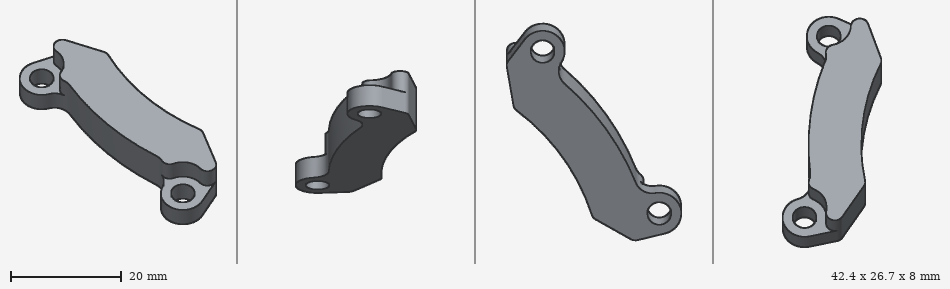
import cadquery as cq
import math

TILT = 25.0
THICKNESS = 8.0
LUG_THICKNESS = THICKNESS / 2
HOLE_DIAMETER = 4.3
LUG_RADIUS = 4.0
HOLE_HALF_SPACING = 18.75
CORNER_RADIUS = 1.6
NECK_RADIUS = 3.2
OUTER_ARC_RADIUS = 50.0
PAD_WIDTH = 9.55
INNER_ARC_RADIUS = OUTER_ARC_RADIUS - PAD_WIDTH
OUTER_ARC_LOW = -1.15
TIP_OFFSET = 0.5

ARC_CENTER = (0, OUTER_ARC_LOW + OUTER_ARC_RADIUS)
HOLE_CENTER = (HOLE_HALF_SPACING, 0)


def polar(center, radius, angle):
    return (center[0] + radius * math.cos(angle), center[1] + radius * math.sin(angle))


def direction(start, end):
    return math.atan2(end[1] - start[1], end[0] - start[0])


def toward(start, end, length):
    return polar(start, length, direction(start, end))


def circle_crossing(center_a, radius_a, center_b, radius_b):
    """Crossing of two circles that lies left of the line from a to b."""
    gap = math.dist(center_a, center_b)
    along = (radius_a**2 - radius_b**2 + gap**2) / (2 * gap)
    turn = math.acos(along / radius_a)
    return polar(center_a, radius_a, direction(center_a, center_b) + turn)


def bisecting_point(center, radius, start, end):
    """Middle of the shorter arc from start to end."""
    middle = ((start[0] + end[0]) / 2, (start[1] + end[1]) / 2)
    return toward(center, middle, radius)


TIP_CENTER = (
    HOLE_HALF_SPACING + TIP_OFFSET,
    math.sqrt((LUG_RADIUS + CORNER_RADIUS) ** 2 - TIP_OFFSET**2),
)
NECK_CENTER = circle_crossing(
    HOLE_CENTER, LUG_RADIUS + NECK_RADIUS, ARC_CENTER, OUTER_ARC_RADIUS + NECK_RADIUS
)
HEEL_CENTER = circle_crossing(
    NECK_CENTER, NECK_RADIUS + CORNER_RADIUS, HOLE_CENTER, LUG_RADIUS + CORNER_RADIUS
)

EDGE_NORMAL = math.radians(90 - TILT)
EDGE_END = polar(TIP_CENTER, CORNER_RADIUS, EDGE_NORMAL)
edge_distance = (
    (EDGE_END[0] - ARC_CENTER[0]) * math.cos(EDGE_NORMAL)
    + (EDGE_END[1] - ARC_CENTER[1]) * math.sin(EDGE_NORMAL)
)
SHOULDER = polar(
    ARC_CENTER, INNER_ARC_RADIUS, EDGE_NORMAL - math.acos(edge_distance / INNER_ARC_RADIUS)
)

INNER_LOW = polar(ARC_CENTER, INNER_ARC_RADIUS, -math.pi / 2)
OUTER_LOW = polar(ARC_CENTER, OUTER_ARC_RADIUS, -math.pi / 2)
OUTER_END = toward(ARC_CENTER, NECK_CENTER, OUTER_ARC_RADIUS)


def start_outline():
    """Inner arc and straight end edge."""
    inner_mid = bisecting_point(ARC_CENTER, INNER_ARC_RADIUS, INNER_LOW, SHOULDER)
    outline = cq.Workplane("XY").moveTo(*INNER_LOW).threePointArc(inner_mid, SHOULDER)
    return outline.lineTo(*EDGE_END)


def arc_to(outline, center, radius, start, end):
    return outline.threePointArc(bisecting_point(center, radius, start, end), end)


def finish_outline(outline, height):
    """Outer arc back to the symmetry line, then the shoulder rounding."""
    outline = arc_to(outline, ARC_CENTER, OUTER_ARC_RADIUS, OUTER_END, OUTER_LOW)
    solid = outline.close().extrude(height)
    shoulder_edge = cq.selectors.NearestToPointSelector((*SHOULDER, height / 2))
    return solid.edges("|Z").edges(shoulder_edge).fillet(CORNER_RADIUS)


def half_pad():
    tip_end = toward(TIP_CENTER, HOLE_CENTER, CORNER_RADIUS)
    tip_mid = bisecting_point(TIP_CENTER, CORNER_RADIUS, EDGE_END, tip_end)
    heel_start = toward(HEEL_CENTER, HOLE_CENTER, CORNER_RADIUS)
    heel_end = toward(HEEL_CENTER, NECK_CENTER, CORNER_RADIUS)
    outline = start_outline().threePointArc(tip_mid, tip_end)
    outline = arc_to(outline, HOLE_CENTER, LUG_RADIUS, tip_end, heel_start)
    outline = arc_to(outline, HEEL_CENTER, CORNER_RADIUS, heel_start, heel_end)
    outline = arc_to(outline, NECK_CENTER, NECK_RADIUS, heel_end, OUTER_END)
    return finish_outline(outline, THICKNESS)


def half_base():
    spread = math.acos((LUG_RADIUS - CORNER_RADIUS) / math.dist(TIP_CENTER, HOLE_CENTER))
    flank_normal = direction(HOLE_CENTER, TIP_CENTER) - spread
    flank_start = polar(TIP_CENTER, CORNER_RADIUS, flank_normal)
    flank_end = polar(HOLE_CENTER, LUG_RADIUS, flank_normal)
    neck_start = toward(HOLE_CENTER, NECK_CENTER, LUG_RADIUS)
    lug_bottom = polar(HOLE_CENTER, LUG_RADIUS, -math.pi / 2)
    outline = arc_to(start_outline(), TIP_CENTER, CORNER_RADIUS, EDGE_END, flank_start)
    outline = outline.lineTo(*flank_end).threePointArc(lug_bottom, neck_start)
    outline = arc_to(outline, NECK_CENTER, NECK_RADIUS, neck_start, OUTER_END)
    solid = finish_outline(outline, LUG_THICKNESS)
    hole = cq.Workplane("XY").center(*HOLE_CENTER).circle(HOLE_DIAMETER / 2).extrude(LUG_THICKNESS)
    return solid.cut(hole)


half = half_base().union(half_pad())
whole = half.union(half.mirror("YZ")).clean()
result = whole.rotate((0, 0, 0), (0, 0, 1), TILT)